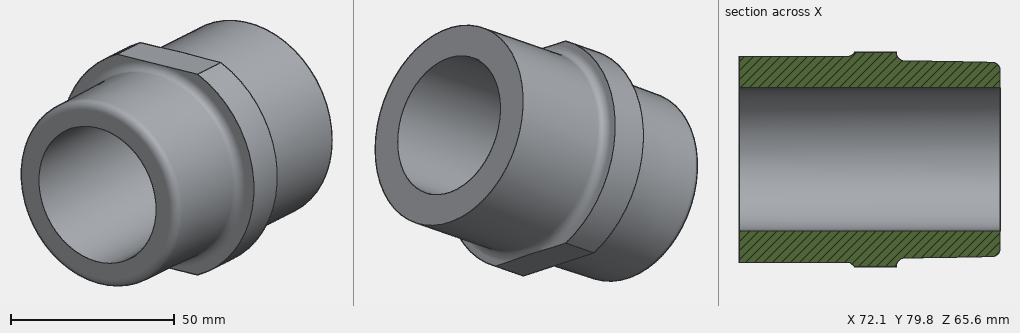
import cadquery as cq

length = 79.75
bore_diameter = 43.7
tube_diameter = 63.0

collar_diameter = 72.1
across_flats = 65.6
collar_start = 31.75
collar_width = 12.4
collar_end = collar_start + collar_width

spigot_tip_diameter = 59.5
spigot_root_diameter = 60.4
tip_rounding = 2.55

spigot_fillet_length = 2.2
spigot_fillet_radius = 2.6
tube_fillet_radius = 2.6
spigot_fillet_foot_diameter = 65.4

bore_radius = bore_diameter / 2
tube_radius = tube_diameter / 2
collar_radius = collar_diameter / 2
tip_radius = spigot_tip_diameter / 2
root_radius = spigot_root_diameter / 2
spigot_fillet_start = collar_start - spigot_fillet_length
tube_fillet_end = collar_end + tube_fillet_radius


def make_body():
    """Revolve the half section (X = radius, Y = axis) about the Y axis."""
    return (
        cq.Workplane("XY")
        .moveTo(bore_radius, 0)
        .lineTo(tip_radius - tip_rounding, 0)
        .radiusArc((tip_radius, tip_rounding), -tip_rounding)
        .lineTo(root_radius, spigot_fillet_start)
        .radiusArc((spigot_fillet_foot_diameter / 2, collar_start), spigot_fillet_radius)
        .lineTo(collar_radius, collar_start)
        .lineTo(collar_radius, collar_end)
        .lineTo(tube_radius + tube_fillet_radius, collar_end)
        .radiusArc((tube_radius, tube_fillet_end), tube_fillet_radius)
        .lineTo(tube_radius, length)
        .lineTo(bore_radius, length)
        .close()
        .revolve(360, (0, 0, 0), (0, 1, 0))
    )


def make_flats_envelope():
    """Slab that trims the collar to its top and bottom flats."""
    slab = cq.Workplane("XY").box(collar_diameter, length, across_flats)
    return slab.translate((0, length / 2, 0))


result = make_body().intersect(make_flats_envelope())